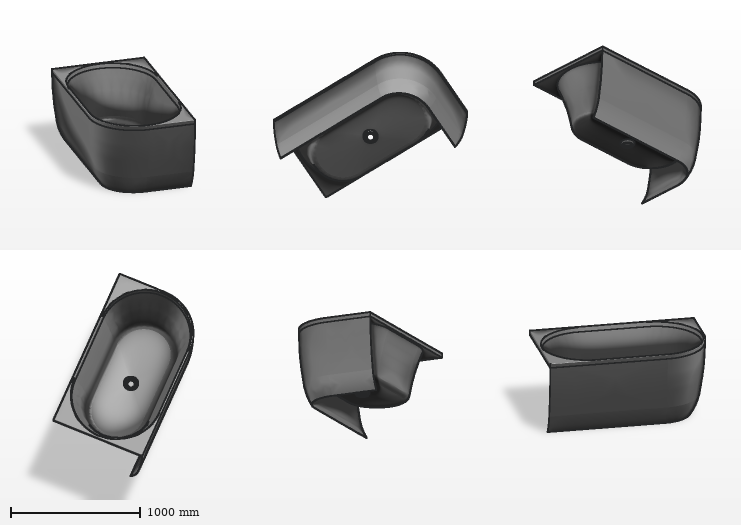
import cadquery as cq

length = 1300.0
width = 750.0
height = 600.0
half_length = length / 2
half_width = width / 2

corner_centre_x = 280.0
apron_thickness = 5.0
crease_z = 150.0
front_crease_inset = 40.0
front_foot_inset = 98.0
end_foot_inset = 110.0
open_side_overrun = 50.0

rim_thickness = 35.0
rim_edge_radius = 3.0

tub_thickness = 5.0
floor_z = 173.0
floor_corner_radius = 45.0
shoulder_z = 405.0
tub_end_radii = (247.0, 292.0, 360.0)
tub_centre_distances = (250.0, 262.0, 275.0)
floor_end_radius = 207.0
floor_fall = 10.0
floor_apex_scale = 0.1

drain_hole_diameter = 55.0
drain_seat_radius = 39.0
drain_seat_depth = 18.0
drain_flare = 0.65


def front_inset(z):
    """Inward lean of the front panel: two parabolas that share a tangent at the crease."""
    upper_drop = height - crease_z
    if z >= crease_z:
        return front_crease_inset * ((height - z) / upper_drop) ** 2
    crease_slope = 2 * front_crease_inset / upper_drop
    straight_foot_inset = front_crease_inset + crease_slope * crease_z
    drop = crease_z - z
    extra = (front_foot_inset - straight_foot_inset) * (drop / crease_z) ** 2
    return front_crease_inset + crease_slope * drop + extra


def apron_wire(z, offset, overrun):
    """Footprint at height z, moved in by offset and run past the open left and back sides."""
    front = half_width - front_inset(z) - offset
    end = half_length - front_inset(z) * end_foot_inset / front_foot_inset - offset
    left = -half_length - overrun
    back = half_width + overrun
    corner_length = end - corner_centre_x
    return (
        cq.Workplane("XY", origin=(0, 0, z))
        .moveTo(left, back)
        .lineTo(left, -front)
        .lineTo(corner_centre_x, -front)
        .ellipseArc(corner_length, front, 270, 360, startAtCurrent=True)
        .lineTo(end, back)
        .close()
        .val()
    )


def loft(wires, ruled=False):
    return cq.Workplane(cq.Solid.makeLoft(wires, ruled))


def apron_body(offset, overrun):
    """Solid filling the apron, lofted as one band above the crease and one below it."""
    upper_step = (height - crease_z) / 3
    upper_levels = (crease_z, crease_z + upper_step, height - upper_step, height)
    lower_levels = (0.0, crease_z / 2, crease_z)
    upper = loft([apron_wire(z, offset, overrun) for z in upper_levels])
    lower = loft([apron_wire(z, offset, overrun) for z in lower_levels])
    return upper.union(lower)


def apron_with_rim():
    """Thin apron under a solid rim plate, open below and along the left and back sides."""
    outside = apron_body(0, 0)
    below_rim = (
        cq.Workplane("XY")
        .rect(length + 2 * open_side_overrun, width + 2 * open_side_overrun)
        .extrude(height - rim_thickness)
    )
    inside = apron_body(apron_thickness, open_side_overrun).intersect(below_rim)
    return outside.cut(inside)


def racetrack_wire(z, end_radius, centre_x):
    """Two round ends joined by straight sides, at height z."""
    return (
        cq.Workplane("XY", origin=(0, 0, z))
        .moveTo(-centre_x, -end_radius)
        .lineTo(centre_x, -end_radius)
        .threePointArc((centre_x + end_radius, 0), (centre_x, end_radius))
        .lineTo(-centre_x, end_radius)
        .threePointArc((-centre_x - end_radius, 0), (-centre_x, -end_radius))
        .close()
        .val()
    )


def tub_body(offset):
    """Solid filling the tub, grown by offset: leaning wall, rounded foot and falling floor."""
    bottom = floor_z - offset
    levels = (bottom, shoulder_z, height)
    wires = [
        racetrack_wire(z, end_radius + offset, centre_x)
        for z, end_radius, centre_x in zip(levels, tub_end_radii, tub_centre_distances)
    ]
    wall = loft(wires).faces("<Z").edges().fillet(floor_corner_radius + offset)
    centre_x = tub_centre_distances[0]
    apex = racetrack_wire(
        bottom - floor_fall, floor_end_radius * floor_apex_scale, centre_x * floor_apex_scale
    )
    floor = loft([apex, racetrack_wire(bottom, floor_end_radius, centre_x)], ruled=True)
    return wall.union(floor)


def drain_recess(offset):
    """Cone from the drain seat up through the floor, grown by offset."""
    seat_z = floor_z - floor_fall - drain_seat_depth - offset
    cone_height = floor_z - seat_z
    seat_radius = drain_seat_radius + offset
    top_radius = seat_radius + drain_flare * cone_height
    cone = cq.Solid.makeCone(seat_radius, top_radius, cone_height, pnt=cq.Vector(0, 0, seat_z))
    return cq.Workplane(cone)


def tub_with_drain(offset):
    return tub_body(offset).union(drain_recess(offset))


def fillet_rim(body):
    """Round the outer edge of the rim plate and the mouth of the tub."""
    return body.faces(">Z").edges().fillet(rim_edge_radius)


drain_hole = cq.Workplane("XY").circle(drain_hole_diameter / 2).extrude(height)

bathtub = apron_with_rim().union(tub_with_drain(tub_thickness))
bathtub = bathtub.cut(tub_with_drain(0)).cut(drain_hole)
result = fillet_rim(bathtub)